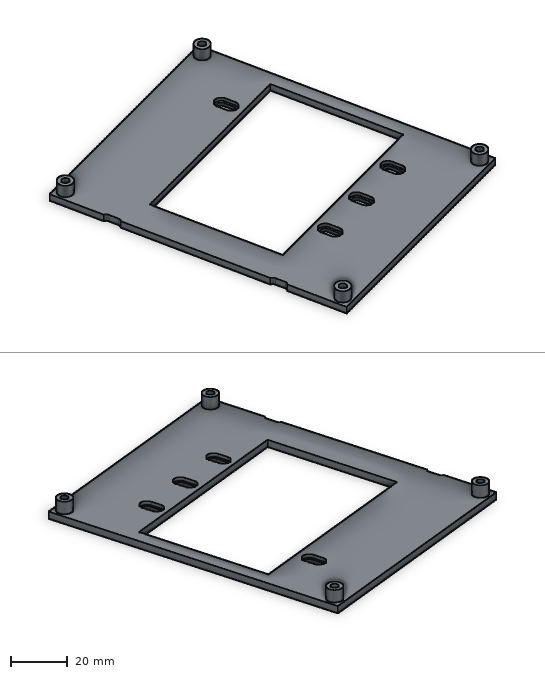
import cadquery as cq

length = 123.0
depth = 100.0
height = 8.0
plate_thickness = 3.0

window_length = 55.0
window_depth = 80.9
window_left = 33.2
window_back_margin = 5.5

post_diameter = 6.2
post_hole_diameter = 3.0
post_inset = 4.0

slot_straight = 4.0
slot_width = 3.5
recess_width = 5.4
recess_depth = 1.5
left_slot_x = 26.0
right_slot_x = 95.0
back_slot_y = depth - 23.5
slot_pitch = 21.0

notch_depth = 0.9
notch_y = notch_depth - slot_width / 2

slot_points = [(left_slot_x, back_slot_y)]
slot_points += [(right_slot_x, back_slot_y - i * slot_pitch) for i in range(3)]
notch_points = [(left_slot_x, notch_y), (right_slot_x, notch_y)]
post_points = [
    (x, y)
    for x in (post_inset, length - post_inset)
    for y in (post_inset, depth - post_inset)
]


def slot_cutter(points, width, bottom):
    """Round-ended prisms from the bottom level up to the plate top."""
    return (
        cq.Workplane("XY", origin=(0, 0, bottom))
        .pushPoints(points)
        .slot2D(slot_straight + width, width)
        .extrude(plate_thickness - bottom)
    )


def cylinders(diameter):
    """Full-height cylinders at the four post positions."""
    return (
        cq.Workplane("XY")
        .pushPoints(post_points)
        .circle(diameter / 2)
        .extrude(height)
    )


plate = cq.Workplane("XY").box(length, depth, plate_thickness, centered=False)
window = (
    cq.Workplane("XY")
    .box(window_length, window_depth, plate_thickness, centered=False)
    .translate((window_left, depth - window_back_margin - window_depth, 0))
)

result = plate.cut(window).union(cylinders(post_diameter))
result = result.cut(cylinders(post_hole_diameter))

result = result.cut(slot_cutter(slot_points, slot_width, 0))
result = result.cut(slot_cutter(slot_points, recess_width, plate_thickness - recess_depth))
result = result.cut(slot_cutter(notch_points, slot_width, 0))